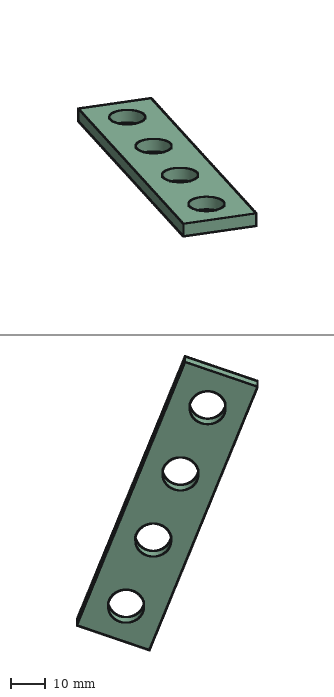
import cadquery as cq

length = 88.9
width = 22.3
thickness = 4.0

hole_diameter = 10.4
hole_count = 4
hole_pitch = 22.3
first_hole_from_end = 10.7

bar = cq.Workplane("XY").box(length, width, thickness)

first_hole_x = first_hole_from_end - length / 2
hole_centers = [(first_hole_x + i * hole_pitch, 0) for i in range(hole_count)]

result = bar.faces(">Z").workplane().pushPoints(hole_centers).hole(hole_diameter)